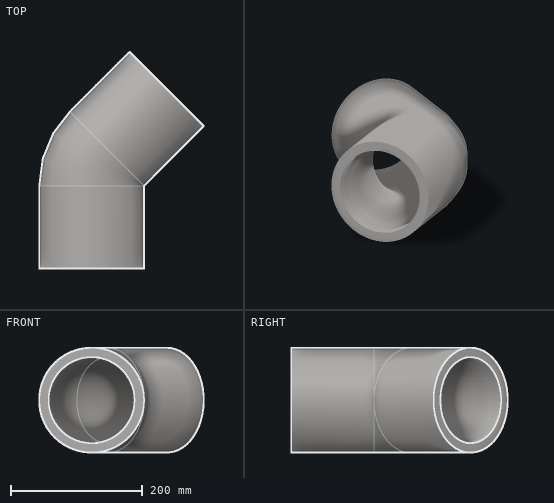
import cadquery as cq
import math

outer_diameter = 160.0
wall = 14.5
bend_angle = 45.0
bend_radius = 80.0
inlet_length = 125.5
outlet_length = 128.5

outer_radius = outer_diameter / 2
bore_radius = outer_radius - wall

angle = math.radians(bend_angle)
bend_end = (bend_radius * (1 - math.cos(angle)), bend_radius * math.sin(angle), 0)
outlet_direction = (math.sin(angle), math.cos(angle), 0)


def elbow_solid(radius):
    """Solid round bar of the given radius following the elbow centreline."""
    inlet = cq.Workplane("XZ").circle(radius).extrude(inlet_length)
    bend = (
        cq.Workplane("XZ")
        .circle(radius)
        .revolve(bend_angle, (bend_radius, 3.3, 0), (bend_radius, 0, 0))
    )
    outlet_plane = cq.Plane(origin=bend_end, xDir=(0, 0, 1), normal=outlet_direction)
    outlet = cq.Workplane(outlet_plane).circle(radius).extrude(outlet_length)
    return inlet.union(bend).union(outlet)


result = elbow_solid(outer_radius).cut(elbow_solid(bore_radius))